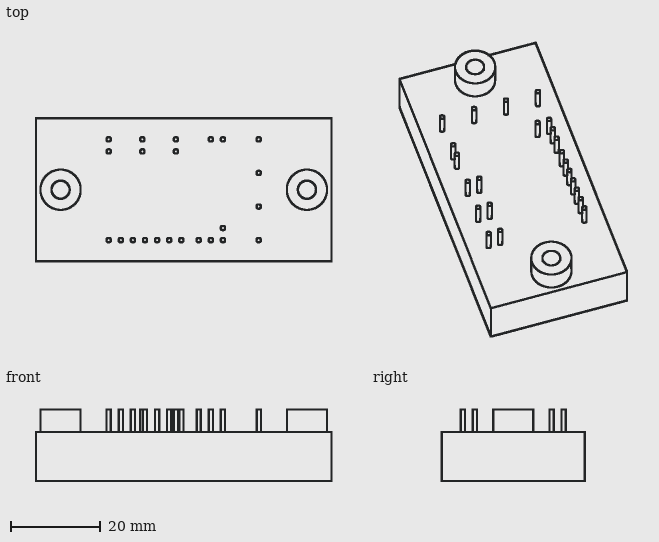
import cadquery as cq

length = 66.0
width = 32.0
block_height = 11.0

boss_diameter = 9.0
boss_height = 5.0
hole_diameter = 4.0
hole_spacing = 55.0

pin_diameter = 1.0
pin_height = boss_height
pin_pitch = 2.7
pin_field_length = 33.5
pin_field_width = 22.5

first_column = -pin_field_length / 2
last_column = pin_field_length / 2
wide_pitch = 7.5
spaced_column_count = 3
left_group_count = 7
right_group_offset = 20.1
right_group_start = first_column + right_group_offset
right_group_count = 3
left_group = [first_column + i * pin_pitch for i in range(left_group_count)]
right_group = [right_group_start + i * pin_pitch for i in range(right_group_count)]
spaced_columns = [first_column + i * wide_pitch for i in range(spaced_column_count)]

outer_row = pin_field_width / 2
inner_row = outer_row - pin_pitch
middle_row = wide_pitch / 2


def row_of_pins(columns, y):
    return [(x, y) for x in columns]


def pin_positions():
    return (
        row_of_pins(left_group + right_group + [last_column], -outer_row)
        + row_of_pins(right_group[-1:], -inner_row)
        + row_of_pins([last_column], -middle_row)
        + row_of_pins([last_column], middle_row)
        + row_of_pins(spaced_columns, inner_row)
        + row_of_pins(spaced_columns + right_group[1:] + [last_column], outer_row)
    )


def posts(positions, diameter, height):
    """Round posts standing on the top face of the block."""
    return (
        cq.Workplane("XY")
        .workplane(offset=block_height)
        .pushPoints(positions)
        .circle(diameter / 2)
        .extrude(height)
    )


def mounting_holes(positions):
    """Cutters running through the block and the bosses."""
    return (
        cq.Workplane("XY")
        .pushPoints(positions)
        .circle(hole_diameter / 2)
        .extrude(block_height + boss_height)
    )


mount_positions = [(-hole_spacing / 2, 0), (hole_spacing / 2, 0)]

block = cq.Workplane("XY").box(length, width, block_height, centered=(True, True, False))
bosses = posts(mount_positions, boss_diameter, boss_height)
pins = posts(pin_positions(), pin_diameter, pin_height)

result = block.union(bosses).union(pins).cut(mounting_holes(mount_positions))